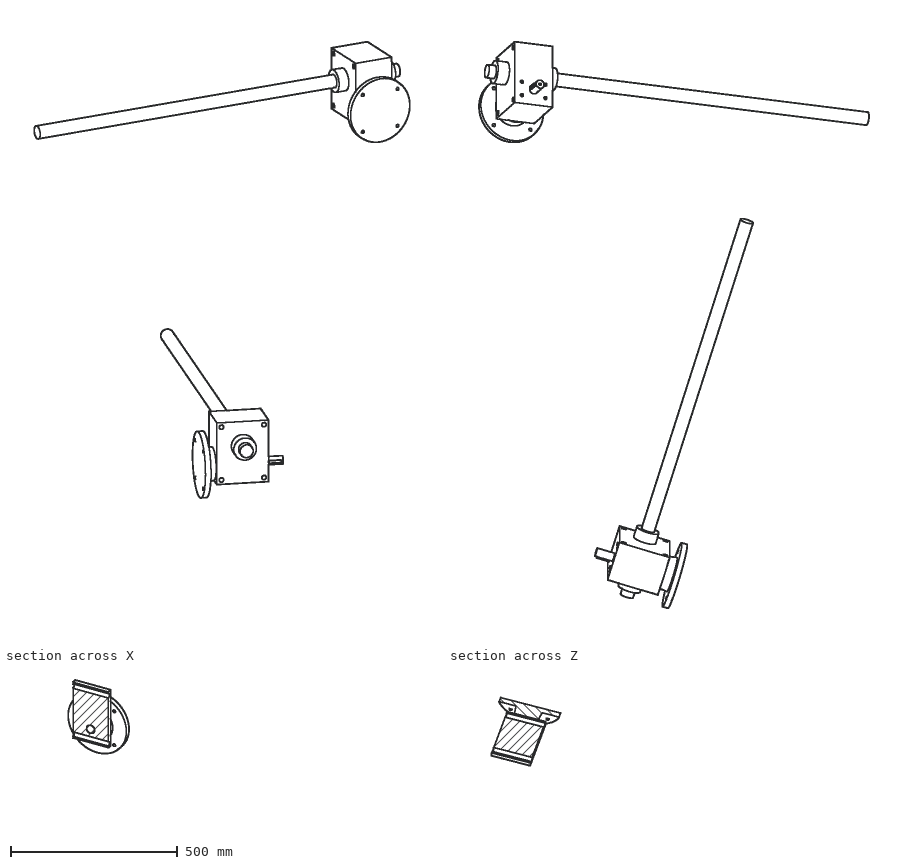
import cadquery as cq


housing_width = 158.0
housing_depth = 122.0
housing_height = 193.0
housing_top = 75.0
housing_left = -housing_width / 2
housing_right = housing_width / 2
housing_center_z = housing_top - housing_height / 2

collar_diameter = 69.0
front_collar_length = 33.0
rear_collar_length = 36.0

mounting_hole_diameter = 13.0
mounting_hole_spacing_x = 130.0
mounting_hole_spacing_z = 165.0

screw_diameter = 40.0
screw_length = 1215.0
screw_rear_end = 120.0

axis_distance = 70.0
worm_z = -axis_distance
shaft_diameter = 25.0
shaft_projection = 55.0
shaft_left = housing_left - shaft_projection
shaft_center_hole_diameter = 6.7
shaft_center_hole_depth = 12.0

key_length = 40.0
key_width = 8.0
key_end_gap = 6.0
key_height = 4.0

cover_hole_diameter = 8.4
cover_hole_depth = 12.0
cover_hole_spacing_y = 75.0
cover_hole_spacing_z = 43.0

flange_diameter = 200.0
flange_thickness = 17.0
neck_length = 25.0
neck_small_diameter = 101.0
neck_large_diameter = 107.0
flange_hole_diameter = 8.4
flange_hole_circle = 165.0
flange_hole_count = 4


def cylinder_along_y(diameter, y_start, length, x=0.0, z=0.0):
    start = cq.Vector(x, y_start, z)
    return cq.Workplane(cq.Solid.makeCylinder(diameter / 2, length, start, cq.Vector(0, 1, 0)))


def cylinder_along_x(diameter, x_start, length, y=0.0, z=worm_z):
    start = cq.Vector(x_start, y, z)
    return cq.Workplane(cq.Solid.makeCylinder(diameter / 2, length, start, cq.Vector(1, 0, 0)))


def make_housing():
    block = cq.Workplane("XY").box(housing_width, housing_depth, housing_height)
    body = block.translate((0, 0, housing_center_z))

    collar_start = -housing_depth / 2 - front_collar_length
    collar_length = front_collar_length + housing_depth + rear_collar_length
    body = body.union(cylinder_along_y(collar_diameter, collar_start, collar_length))

    body = body.cut(cylinder_along_y(screw_diameter, collar_start, collar_length))
    body = body.cut(cylinder_along_x(shaft_diameter, housing_left, housing_width))

    for side_x in (-1, 1):
        for side_z in (-1, 1):
            hole_x = side_x * mounting_hole_spacing_x / 2
            hole_z = housing_center_z + side_z * mounting_hole_spacing_z / 2
            body = body.cut(
                cylinder_along_y(mounting_hole_diameter, -housing_depth / 2, housing_depth, hole_x, hole_z)
            )

    for side_y in (-1, 1):
        for side_z in (-1, 1):
            hole_y = side_y * cover_hole_spacing_y / 2
            hole_z = worm_z + side_z * cover_hole_spacing_z / 2
            body = body.cut(
                cylinder_along_x(cover_hole_diameter, housing_left, cover_hole_depth, hole_y, hole_z)
            )
    return body


def make_screw():
    return cylinder_along_y(screw_diameter, screw_rear_end - screw_length, screw_length)


def make_worm_shaft():
    shaft = cylinder_along_x(shaft_diameter, shaft_left, shaft_projection + housing_width)

    key_center_x = shaft_left + key_end_gap + key_length / 2
    key = (
        cq.Workplane("XZ", origin=(key_center_x, 0, worm_z))
        .slot2D(key_length, key_width)
        .extrude(-(shaft_diameter / 2 + key_height))
    )
    center_hole = cylinder_along_x(shaft_center_hole_diameter, shaft_left, shaft_center_hole_depth)
    return shaft.union(key).cut(center_hole)


def make_motor_flange():
    flange_left = housing_right + neck_length
    neck = cq.Workplane(
        cq.Solid.makeCone(
            neck_small_diameter / 2,
            neck_large_diameter / 2,
            neck_length,
            cq.Vector(housing_right, 0, worm_z),
            cq.Vector(1, 0, 0),
        )
    )
    disc = cylinder_along_x(flange_diameter, flange_left, flange_thickness)

    holes = (
        cq.Workplane("YZ", origin=(flange_left, 0, worm_z))
        .polarArray(flange_hole_circle / 2, 45, 360, flange_hole_count)
        .circle(flange_hole_diameter / 2)
        .extrude(flange_thickness)
    )
    return neck.union(disc).cut(holes)


housing = make_housing()
screw = make_screw()
worm_shaft = make_worm_shaft()
motor_flange = make_motor_flange()

result = cq.Compound.makeCompound([housing.val(), screw.val(), worm_shaft.val(), motor_flange.val()])